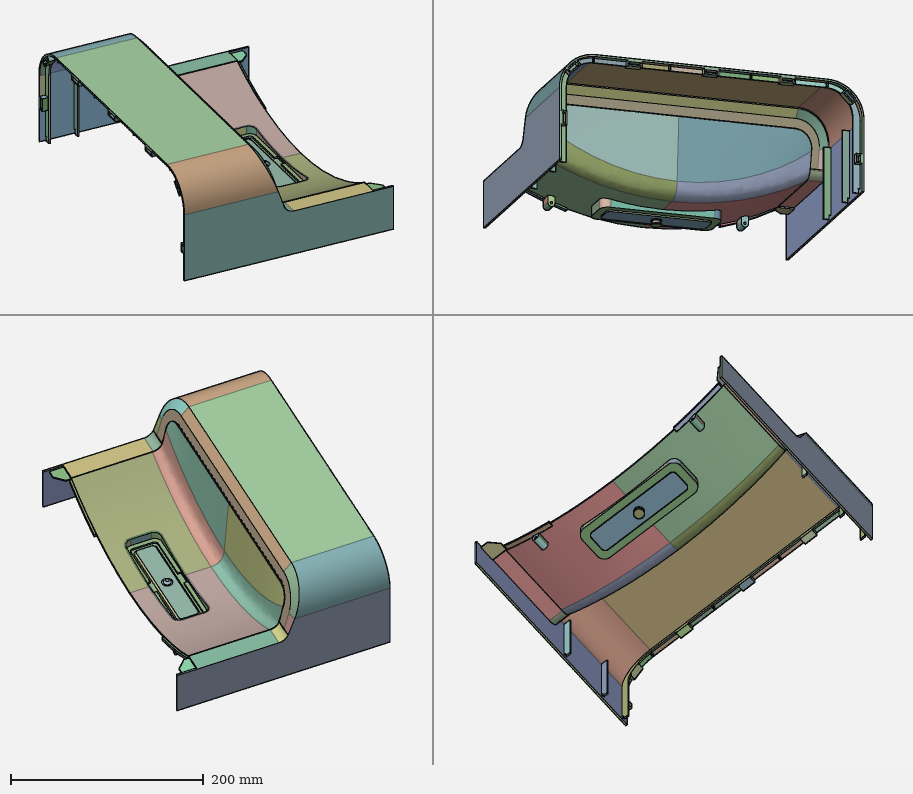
import cadquery as cq
import math

half_width = 167.0
height = 118.48
length = 243.1
arch_radius = 40.0
shell = 2.2
overrun = 10.0

deck_z = 51.0
deck_end_y = 220.0
deck_fillet = 11.5

wall_top_y = 94.3
wall_foot_y = 119.0
ring_inset = 9.5
ring_y = 103.2
ring_foot_z = 58.0
wall_shift = 0.7

saddle_half = 145.0
saddle_step = 0.8
wall_step = 1.0
saddle_top_z = 97.0
saddle_radius = 18.0
saddle_bottom_z = 13.0
saddle_wall_y = 112.4
saddle_foot_y = 127.6
sweep_edge_z = 78.0
sweep_mid_z = 30.0
saddle_steps = 6

rib_thickness = 1.8
frame_y = 6.5
frame_side_depth = 10.0
frame_top_depth = 7.0
rib_positions = (40.0, 100.0)
rib_top_z = height - arch_radius
rib_notch_width = 2.0
rib_notch_height = 5.0

clip_width = 16.0
clip_pitch = 84.0
clip_drop = 6.4
clip_wall = 1.6
clip_depth = frame_y
corner_clip_sink = 0.5
tick_length = 4.0
tick_width = 1.2
tick_positions = (-128.0, -44.5, 44.5, 128.0)
side_clips = ((-1, 46.5, 15.0), (1, 36.0, 10.0))

tab_end_y = 236.0
tab_inner_x = 146.0
tab_chamfer = 10.0
tab_start_y = 217.0
tab_thickness = 1.5
lip_inner_x = 84.0
lip_start_y = 217.0
lip_end_y = 222.3
lip_drop = 2.5
lip_overlap = 1.0

boss_x = 106.0
boss_z = 21.5
boss_diameter = 7.96
boss_hole = 2.5
boss_start_y = 203.0
boss_length = 15.0

tray_y = 177.5
tray_length = 133.0
tray_width = 43.0
tray_radius = 9.5
tray_wall = 1.5
tray_bottom_z = 7.3
tray_floor_z = 9.0
tray_ledge_z = 11.0
well_length = 120.0
well_width = 31.0
well_radius = 4.0
notch_length = 16.0
notch_width = 39.0
plate_length = 115.0
plate_width = 26.0
plate_y = 177.5
plate_radius = 5.0
plate_bottom_z = 5.6
plate_top_z = 11.0
plate_draft = 45.0

pin_diameter = 7.96
pin_head_diameter = 11.5
pin_head_height = 1.3
pin_collar_height = 0.8
pin_tip_height = 3.0
pin_tip_diameter = 4.0


def arch(half, top, radius, start_y, end_y, bottom=-overrun):
    """Block along Y with an upright section rounded at its two upper corners."""
    return (
        cq.Workplane("XZ", origin=(0, start_y, 0))
        .moveTo(-half, bottom)
        .lineTo(-half, top - radius)
        .radiusArc((-half + radius, top), radius)
        .lineTo(half - radius, top)
        .radiusArc((half, top - radius), radius)
        .lineTo(half, bottom)
        .close()
        .extrude(start_y - end_y)
    )


def across(profile, half=half_width + overrun):
    """Block along X from an outline of (y, z) points."""
    return cq.Workplane("YZ", origin=(-half, 0, 0)).polyline(profile).close().extrude(2 * half)


def rounded_block(size_x, size_y, radius, bottom, top, centre_y=tray_y):
    return (
        cq.Workplane("XY", origin=(0, centre_y, bottom))
        .rect(size_x, size_y)
        .extrude(top - bottom)
        .edges("|Z")
        .fillet(radius)
    )


def box(x0, x1, y0, y1, z0, z1):
    return cq.Workplane("XY").box(x1 - x0, y1 - y0, z1 - z0, centered=False).translate((x0, y0, z0))


def arc_rise(x, half, rise):
    """Height above the lowest point of an arc that climbs by `rise` at +-`half`."""
    radius = (half**2 + rise**2) / (2 * rise)
    return radius - math.sqrt(radius**2 - x**2)


def slope_face(half, top, radius, y_top, z_top, y_foot, z_foot):
    """Outline where an arch block is cut by the sloped plane through two (y, z) points."""
    slope = (y_foot - y_top) / (z_foot - z_top)

    def plane_y(z):
        return y_top + slope * (z - z_top)

    base = ring_foot_z
    peak = top + overrun
    keep = across([(0, base), (plane_y(base), base), (plane_y(peak), peak), (0, peak)])
    block = arch(half, top, radius, overrun, deck_end_y).intersect(keep)
    return block.faces(">Y").wires().val()


def slope_y(z, inset):
    """Y of the raised slope that runs down from the bevel."""
    run = (wall_foot_y - ring_y) / (height - ring_inset - deck_z)
    return wall_foot_y - wall_shift * inset - run * (z - deck_z + inset)


def wall_pad(inset):
    """Layer added to the slope, out of which the steep wall of the hollow is cut."""
    level = deck_z - inset
    layer = across(
        [
            (wall_top_y, level),
            (slope_y(level, inset) + wall_step, level),
            (slope_y(saddle_top_z, inset) + wall_step, saddle_top_z),
            (wall_top_y, saddle_top_z),
        ]
    )
    limits = arch(saddle_half + inset, saddle_top_z, saddle_radius + inset, wall_top_y, deck_end_y)
    return layer.intersect(limits)


def saddle(inset):
    """+X half of the hollow over the deck: steep wall, sweeping transition and arched floor."""
    half = saddle_half + inset
    shift = -wall_shift * inset
    edge_z = deck_z - inset - saddle_step
    top_y = slope_y(saddle_top_z, inset) + wall_step
    wall_y = saddle_wall_y + shift
    far_y = length + 2 * overrun
    high_z = height + overrun
    wires = []
    for step in range(saddle_steps + 1):
        x = half * step / saddle_steps
        sweep_z = sweep_mid_z - inset + arc_rise(x, half, sweep_edge_z - sweep_mid_z)
        floor_z = saddle_bottom_z - inset + arc_rise(x, half, edge_z + inset - saddle_bottom_z)
        wires.append(
            cq.Workplane("YZ", origin=(x, 0, 0))
            .moveTo(top_y, saddle_top_z)
            .lineTo(wall_y, sweep_z)
            .spline(
                [(saddle_foot_y, floor_z)],
                tangents=[(wall_y - top_y, sweep_z - saddle_top_z), (1, 0)],
                includeCurrent=True,
            )
            .lineTo(far_y, floor_z)
            .lineTo(far_y, high_z)
            .lineTo(top_y, high_z)
            .close()
            .val()
        )
    limits = arch(half, saddle_top_z, saddle_radius + inset, 0, far_y)
    return cq.Workplane(cq.Solid.makeLoft(wires)).intersect(limits)


def envelope(inset, start_y, end_y, bottom):
    """Solid outline of the cover, moved inward by `inset`."""
    half = half_width - inset
    top = height - inset
    radius = arch_radius - inset
    level = deck_z - inset
    shift = -wall_shift * inset
    foot_y = wall_foot_y + shift
    top_y = wall_top_y + shift
    peak = height + overrun
    peak_y = top_y - (foot_y - top_y) / (height - deck_z) * (peak - height)

    side = across(
        [(start_y, bottom), (end_y, bottom), (end_y, level), (foot_y, level), (peak_y, peak), (start_y, peak)]
    )
    foot_edge = cq.selectors.NearestToPointSelector((0, foot_y, level))
    side = side.edges(foot_edge).fillet(deck_fillet)
    body = arch(half, top, radius, start_y, end_y, bottom).intersect(side)

    outer_ring = slope_face(half, top, radius, top_y, top, foot_y, level)
    inner_ring = slope_face(
        half - ring_inset, top - ring_inset, radius - ring_inset, ring_y + shift, top - ring_inset, foot_y, level
    )
    bevel = cq.Workplane(cq.Solid.makeLoft([outer_ring, inner_ring], True))
    half_hollow = saddle(inset)
    return body.union(bevel).union(wall_pad(inset)).cut(half_hollow).cut(half_hollow.mirror("YZ"))


def shell_cavity():
    return envelope(shell, -overrun, length + overrun, -overrun)


def front_frame():
    """Rib that follows the inside of the arch just behind its open front."""
    front, back = frame_y, frame_y + rib_thickness
    inner_half = half_width - frame_side_depth
    inner_top = height - frame_top_depth
    band = arch(half_width - shell, height - shell, arch_radius - shell, front, back, 0)
    opening = arch(inner_half, inner_top, arch_radius - frame_side_depth, front, back)
    return band.cut(opening)


def side_rib(side, start_y):
    """Upright rib on the inside of one side wall."""
    rib = box(
        half_width - frame_side_depth, half_width - shell, start_y, start_y + rib_thickness, 0, rib_top_z
    )
    return rib if side > 0 else rib.mirror("YZ")


def rib_foot_notch(side):
    """Gap between the foot of every rib and the side wall."""
    outer = half_width - shell
    last_y = rib_positions[-1] + overrun
    notch = box(outer - rib_notch_width, outer, 0, last_y, -overrun, rib_notch_height)
    return notch if side > 0 else notch.mirror("YZ")


def clip(width, x, z, angle):
    """Socket in front of the frame, open to the front; unturned it hangs from z at x."""
    socket = (
        cq.Workplane("XY")
        .box(width, clip_depth + rib_thickness, clip_drop, centered=(True, False, False))
        .translate((0, 0, -clip_drop))
    )
    pocket_height = clip_drop - 2 * clip_wall
    pocket = (
        cq.Workplane("XY")
        .box(width - 2 * clip_wall, clip_depth, pocket_height, centered=(True, False, False))
        .translate((0, 0, clip_wall - clip_drop))
    )
    return socket.cut(pocket).rotate((0, 0, 0), (0, 1, 0), angle).translate((x, 0, z))


def front_clips():
    """Sockets along the top, round the corners and on the side walls."""
    clips = []
    wall_z = height - shell
    for column in (-1, 0, 1):
        clips.append(clip(clip_width, column * clip_pitch, wall_z, 0))
    reach = (arch_radius - shell - corner_clip_sink) * math.sqrt(0.5)
    for side in (-1, 1):
        corner_x = side * (half_width - arch_radius + reach)
        clips.append(clip(clip_width, corner_x, height - arch_radius + reach, side * 45))
    for side, centre_z, size in side_clips:
        clips.append(clip(size, side * (half_width - shell), centre_z, side * 90))
    return clips


def front_ticks():
    """Short fins between the top sockets."""
    return [
        box(
            x - tick_width / 2, x + tick_width / 2,
            frame_y - tick_length, frame_y,
            height - frame_top_depth, height - shell,
        )
        for x in tick_positions
    ]


def back_tab(side):
    """Corner gusset under the flat deck strip, reaching past the deck's back edge."""
    outer = half_width - shell
    top = deck_z - shell
    tab = (
        cq.Workplane("XY", origin=(0, 0, top - tab_thickness))
        .moveTo(outer, tab_start_y)
        .lineTo(tab_inner_x, tab_start_y)
        .lineTo(tab_inner_x, tab_end_y - tab_chamfer)
        .lineTo(tab_inner_x + tab_chamfer, tab_end_y)
        .lineTo(outer, tab_end_y)
        .close()
        .extrude(tab_thickness)
    )
    return tab if side > 0 else tab.mirror("YZ")


def arc_strip(top, bottom, start_y, end_y):
    """Strip following the saddle arc, between two levels given on the centre line."""
    edge_rise = deck_z - saddle_step - saddle_bottom_z
    return (
        cq.Workplane("XZ", origin=(0, start_y, 0))
        .moveTo(-saddle_half, top + edge_rise)
        .threePointArc((0, top), (saddle_half, top + edge_rise))
        .lineTo(saddle_half, bottom + edge_rise)
        .threePointArc((0, bottom), (-saddle_half, bottom + edge_rise))
        .close()
        .extrude(start_y - end_y)
    )


def back_lips():
    """Two lips under the rim of the saddle, one on each side of the middle."""
    underside = saddle_bottom_z - shell
    strip = arc_strip(underside + lip_overlap, underside - lip_drop, lip_start_y, lip_end_y)
    middle = box(-lip_inner_x, lip_inner_x, lip_start_y, lip_end_y, -overrun, height)
    return strip.cut(middle)


def guide_boss(side):
    """Bored cylinder along Y, hung from the deck by a web."""
    web_top = boss_z + boss_diameter
    barrel = (
        cq.Workplane("XZ", origin=(side * boss_x, boss_start_y, boss_z))
        .circle(boss_diameter / 2)
        .extrude(-boss_length)
    )
    web = (
        cq.Workplane("XZ", origin=(side * boss_x, boss_start_y, boss_z))
        .rect(boss_diameter, 2 * (web_top - boss_z))
        .extrude(-boss_length)
        .cut(box(-half_width, half_width, 0, length, 0, boss_z))
    )
    bore = (
        cq.Workplane("XZ", origin=(side * boss_x, boss_start_y, boss_z))
        .circle(boss_hole / 2)
        .extrude(-boss_length)
    )
    return barrel.union(web).cut(bore)


def tray_shell():
    """Outer block of the sunk tray, trimmed to the deck surface."""
    block = rounded_block(tray_length, tray_width, tray_radius, tray_bottom_z, deck_z)
    return block.intersect(envelope(0, 0, length, 0))


def tray_recess():
    """Recess from the deck to the ledge, the well inside it and the notches in the ledge."""
    opening = rounded_block(
        tray_length - 2 * tray_wall, tray_width - 2 * tray_wall, tray_radius - tray_wall, tray_ledge_z, height
    )
    well = rounded_block(well_length, well_width, well_radius, tray_floor_z, height)
    notch = box(
        -notch_length / 2, notch_length / 2,
        tray_y - notch_width / 2, tray_y + notch_width / 2,
        tray_floor_z, height,
    )
    return opening.union(well).union(notch)


def tray_plate():
    """Raised plate on the tray floor, with sloping sides and a flush foot below."""
    foot = rounded_block(plate_length, plate_width, plate_radius, plate_bottom_z, tray_floor_z, plate_y)
    raised = (
        cq.Workplane("XY", origin=(0, plate_y, tray_floor_z))
        .sketch()
        .rect(plate_length, plate_width)
        .vertices()
        .fillet(plate_radius)
        .finalize()
        .extrude(plate_top_z - tray_floor_z, taper=plate_draft)
    )
    return foot.union(raised)


def make_cover():
    inner = half_width - shell
    cover = envelope(0, 0, length, 0).cut(shell_cavity())
    cover = cover.cut(box(-inner, inner, deck_end_y, length + overrun, -overrun, height))

    cover = cover.union(front_frame())
    for side in (-1, 1):
        for start_y in rib_positions:
            cover = cover.union(side_rib(side, start_y))
        cover = cover.cut(rib_foot_notch(side))
        cover = cover.union(back_tab(side))
        cover = cover.union(guide_boss(side))
    for piece in front_clips() + front_ticks():
        cover = cover.union(piece)
    cover = cover.union(back_lips())

    cover = cover.union(tray_shell()).cut(tray_recess()).union(tray_plate())
    bore = cq.Workplane("XY", origin=(0, plate_y, 0)).circle(pin_diameter / 2).extrude(height / 2)
    return cover.cut(bore)


def make_pin():
    """Headed pin: head, neck, collar under the plate, shank and conical tip above it."""
    head = pin_head_diameter / 2
    shank = pin_diameter / 2
    collar_z = plate_bottom_z - pin_collar_height
    outline = [
        (0, 0),
        (head, 0),
        (head, pin_head_height),
        (shank, pin_head_height),
        (shank, collar_z),
        (head, collar_z),
        (head, plate_bottom_z),
        (shank, plate_bottom_z),
        (shank, plate_top_z),
        (head, plate_top_z),
        (pin_tip_diameter / 2, plate_top_z + pin_tip_height),
        (0, plate_top_z + pin_tip_height),
    ]
    pin = cq.Workplane("XZ").polyline(outline).close().revolve(360, (0, 0, 0), (0, 1, 0))
    return pin.translate((0, plate_y, 0))


cover = make_cover()
pin = make_pin()

result = cq.Compound.makeCompound([cover.val(), pin.val()])